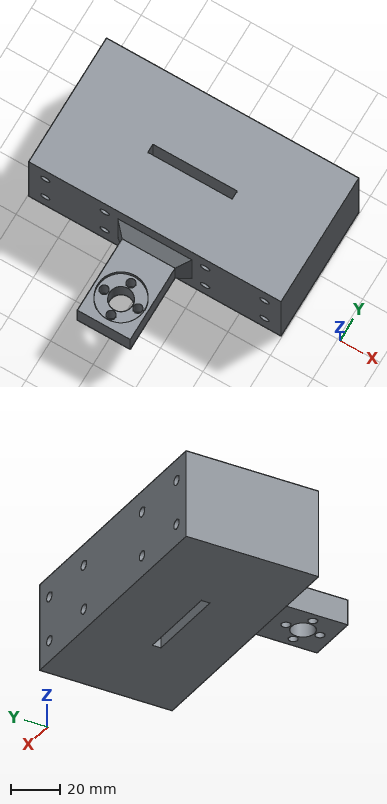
import cadquery as cq

block_width = 119.1
block_depth = 62.2
block_height = 41.0

slot_length = 39.8
slot_width = 4.0
slot_center_y = 30.1

bolt_diameter = 4.3
bolt_outer_x = 51.7
bolt_inner_x = 23.7
bolt_z = 10.5

total_depth = 103.0
tongue_length = total_depth - block_depth
tongue_width = 25.0
tongue_thickness = 11.9
tongue_z = 0.5
root_flare = 5.0

seat_diameter = 22.0
seat_depth = 2.0
bore_diameter = 10.8
ring_hole_diameter = 4.0
ring_hole_count = 4
ring_diameter = 16.0
seat_y = -27.0


def make_block():
    """Block with the vertical slot and the front-to-back holes."""
    block = cq.Workplane("XY").box(block_width, block_depth, block_height)
    block = block.translate((0, block_depth / 2, 0))
    slot = cq.Workplane("XY").box(slot_length, slot_width, block_height)
    slot = slot.translate((0, slot_center_y, 0))
    bolt_points = [
        (side * x, z)
        for side in (-1, 1)
        for x in (bolt_inner_x, bolt_outer_x)
        for z in (-bolt_z, bolt_z)
    ]
    bolts = (
        cq.Workplane("XZ")
        .pushPoints(bolt_points)
        .circle(bolt_diameter / 2)
        .extrude(-block_depth)
    )
    return block.cut(slot).cut(bolts)


def make_tongue():
    """Rectangular tongue whose root flares out to meet the block."""
    front = cq.Workplane("XZ", origin=(0, 0, tongue_z))
    bar = front.rect(tongue_width, tongue_thickness).extrude(tongue_length)
    root = (
        front.rect(tongue_width + 2 * root_flare, tongue_thickness + 2 * root_flare)
        .workplane(offset=root_flare)
        .rect(tongue_width, tongue_thickness)
        .loft(ruled=True)
    )
    return bar.union(root)


def make_seat_cutter():
    """Shallow seat, central bore and ring holes, cut down from the tongue's top."""
    top = cq.Workplane("XY", origin=(0, seat_y, tongue_z + tongue_thickness / 2))
    seat = top.circle(seat_diameter / 2).extrude(-seat_depth)
    bore = top.circle(bore_diameter / 2).extrude(-tongue_thickness)
    ring = (
        top.polarArray(ring_diameter / 2, 0, 360, ring_hole_count)
        .circle(ring_hole_diameter / 2)
        .extrude(-tongue_thickness)
    )
    return seat.union(bore).union(ring)


result = make_block().union(make_tongue()).cut(make_seat_cutter())